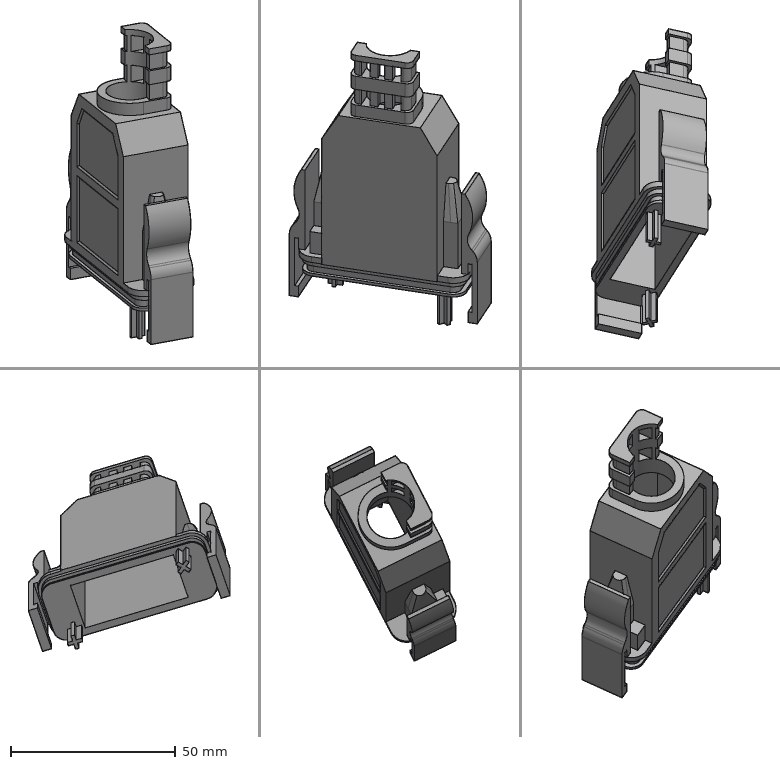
import cadquery as cq
import math

CAGE_TOP = 89.4
TOP_PLATE_BOTTOM = 87.4
BAND_TOP = 82.2
BAND_BOTTOM = 77.6
COLLAR_TOP = 72.2
BODY_TOP = 68.2
CAVITY_TOP = 65.4
SHOULDER_Z = 59.4
LEVER_TOP = 45.4
FLANGE_TOP = 17.8
FLANGE_BOTTOM = 15.8
STEP_BOTTOM = 14.1
NECK_BOTTOM = 11.5
LIP_BOTTOM = 10.55

BODY_HALF_X = 18.4
BODY_TOP_HALF_X = 13.05
BODY_HALF_Y = 10.9
WALL_X = 2.0
CAVITY_HALF_Y = 7.3

CORNER_CENTRE_X = 21.8
FLANGE_HALF_X = 27.1
FLANGE_BACK_INSET = 0.3
STEP_HALF = (26.0, 9.65)
NECK_HALF = (24.5, 8.6)

PANEL_HALF_X = 14.5
PANEL_BORDER = 0.6
PANEL_DEPTH = 0.5
LOWER_PANEL_Z = (18.9, 40.9)
UPPER_PANEL_Z = (43.7, 64.3)
PANEL_KINK_Z = 58.1
PANEL_TOP_HALF_X = 10.9

COLLAR_RADIUS = 9.9
COLLAR_CORNER = 2.1
BORE_DIAMETER = 14.5
PLATE_FRONT_Y = 1.8
CAGE_SETBACK = 0.9
CAGE_FRONT_Y = 2.4
MID_WINDOW_HALF_X = 1.1
SIDE_WINDOW_X = (3.6, 6.35)

POST_HALF_Y = 4.5
POST_REACH_X = 23.0
POST_TAPER_Z = 33.4
POST_TIP_X = 21.3
POST_TIP_RADIUS = 2.1
KEY_WIDTH = 4.0
KEY_TOP = 25.2

LEVER_HALF_Y = 7.1
LEVER_INNER_X = 24.9
LEVER_OUTER_X = 60.0 / 2
LEVER_TOP_OUTER_X = 26.1
LEVER_BOTTOM = 1.2
SLOT_OUTER_X = 28.25
SLOT_TOP = 21.5
HOOK_TOP = 4.9
GRIP_BULGE = (28.5, 37.7)
GRIP_TURN = (27.2, 31.6)
GRIP_HOLLOW = (26.9, 29.05)
SLOPE_TOP = (28.25, 26.5)
SLOPE_BOTTOM = (28.7, 25.9)
LEVER_ROUND = (29.6, 24.5)
LEVER_ROUND_END_Z = 22.5

PIN_X = 19.5
PIN_Y = 6.7
PIN_DIAMETER = 4.65
PIN_RIB_THICKNESS = 1.2
LEFT_PIN_ANGLE = 50.0


def slab(x0, x1, y0, y1, z0, z1):
    """Upright block between opposite corner coordinates."""
    return cq.Workplane("XY").box(x1 - x0, y1 - y0, z1 - z0, centered=False).translate((x0, y0, z0))


def prism_along_y(points, half_y):
    """Polygon in X and Z, extruded to both sides of the XZ plane."""
    return cq.Workplane("XZ").polyline(points).close().extrude(half_y, both=True)


def gable(half_x, top_half_x, z0, kink_z, z1):
    """Symmetric outline with vertical sides and sloping shoulders."""
    right_side = [(half_x, z0), (half_x, kink_z), (top_half_x, z1)]
    return right_side + [(-x, z) for x, z in reversed(right_side)]


def base_step(half_x, half_y, z0, z1):
    """Rounded plate of the base."""
    block = slab(-half_x, half_x, -half_y, half_y, z0, z1)
    return block.edges("|Z").fillet(half_x - CORNER_CENTRE_X)


def base():
    flange_half_y = BODY_HALF_Y - FLANGE_BACK_INSET / 2
    flange = base_step(FLANGE_HALF_X, flange_half_y, FLANGE_BOTTOM, FLANGE_TOP)
    flange = flange.translate((0, -FLANGE_BACK_INSET / 2, 0))
    step = base_step(*STEP_HALF, STEP_BOTTOM, FLANGE_BOTTOM)
    neck = base_step(*NECK_HALF, NECK_BOTTOM, STEP_BOTTOM)
    lip = base_step(*STEP_HALF, LIP_BOTTOM, NECK_BOTTOM)
    return flange.union(step).union(neck).union(lip)


def body():
    outline = gable(BODY_HALF_X, BODY_TOP_HALF_X, FLANGE_BOTTOM, SHOULDER_Z, BODY_TOP)
    return prism_along_y(outline, BODY_HALF_Y)


def cavity():
    """Open-bottomed interior that follows the body outline."""
    slope = (BODY_HALF_X - BODY_TOP_HALF_X) / (BODY_TOP - SHOULDER_Z)
    half_x = BODY_HALF_X - WALL_X
    top_half_x = half_x - slope * (CAVITY_TOP - SHOULDER_Z)
    return prism_along_y(gable(half_x, top_half_x, LIP_BOTTOM, SHOULDER_Z, CAVITY_TOP), CAVITY_HALF_Y)


def panel_recess(outline):
    """Shallow pocket in the front face with walls sloping inward at roughly 45 degrees."""
    taper = math.degrees(math.atan2(PANEL_BORDER, PANEL_DEPTH))
    front = cq.Workplane("XZ", origin=(0, -BODY_HALF_Y, 0))
    return front.polyline(outline).close().extrude(-PANEL_DEPTH, taper=taper)


def panel_recesses():
    low, high = LOWER_PANEL_Z
    lower = [(-PANEL_HALF_X, low), (PANEL_HALF_X, low), (PANEL_HALF_X, high), (-PANEL_HALF_X, high)]
    low, high = UPPER_PANEL_Z
    upper = gable(PANEL_HALF_X, PANEL_TOP_HALF_X, low, PANEL_KINK_Z, high)
    return panel_recess(lower).union(panel_recess(upper))


def cage_block(front_y, setback, z0, z1):
    """Block with rounded rear corners, set back from the collar outline."""
    reach = COLLAR_RADIUS - setback
    block = slab(-reach, reach, front_y, reach, z0, z1)
    return block.edges("|Z and >Y").fillet(COLLAR_CORNER)


def collar_and_cage():
    collar = cage_block(0, 0, BODY_TOP, COLLAR_TOP)
    round_front = cq.Workplane("XY").circle(COLLAR_RADIUS).extrude(COLLAR_TOP - BODY_TOP)
    solid = collar.union(round_front.translate((0, 0, BODY_TOP)))
    solid = solid.union(cage_block(CAGE_FRONT_Y, CAGE_SETBACK, COLLAR_TOP, CAGE_TOP))
    for z0, z1 in ((BAND_BOTTOM, BAND_TOP), (TOP_PLATE_BOTTOM, CAGE_TOP)):
        solid = solid.union(cage_block(PLATE_FRONT_Y, 0, z0, z1))

    near, far = SIDE_WINDOW_X
    columns = ((-far, -near), (-MID_WINDOW_HALF_X, MID_WINDOW_HALF_X), (near, far))
    rows = ((COLLAR_TOP, BAND_BOTTOM), (BAND_TOP, TOP_PLATE_BOTTOM))
    for x0, x1 in columns:
        for z0, z1 in rows:
            solid = solid.cut(slab(x0, x1, 0, COLLAR_RADIUS, z0, z1))
    return solid


def bore():
    cylinder = cq.Workplane("XY").circle(BORE_DIAMETER / 2).extrude(CAGE_TOP - CAVITY_TOP)
    return cylinder.translate((0, 0, CAVITY_TOP))


def guide_post():
    """Post on the +X side: rectangular foot tapering to a round-nosed tip."""
    foot = slab(BODY_HALF_X, POST_REACH_X, -POST_HALF_Y, POST_HALF_Y, FLANGE_TOP, POST_TAPER_Z)

    nose_x = POST_TIP_X - POST_TIP_RADIUS
    diagonal = POST_TIP_RADIUS * math.sqrt(0.5)
    tip_corner = (nose_x + diagonal, diagonal)
    shoulder_x = BODY_HALF_X + (POST_REACH_X - BODY_HALF_X) / 2

    lower = (
        cq.Workplane("XY", origin=(0, 0, POST_TAPER_Z))
        .moveTo(BODY_HALF_X, -POST_HALF_Y)
        .lineTo(shoulder_x, -POST_HALF_Y)
        .lineTo(POST_REACH_X, -POST_HALF_Y)
        .lineTo(POST_REACH_X, POST_HALF_Y)
        .lineTo(shoulder_x, POST_HALF_Y)
        .lineTo(BODY_HALF_X, POST_HALF_Y)
        .close()
    )
    upper = (
        cq.Workplane("XY", origin=(0, 0, LEVER_TOP))
        .moveTo(BODY_HALF_X, -POST_TIP_RADIUS)
        .lineTo(nose_x, -POST_TIP_RADIUS)
        .radiusArc((tip_corner[0], -tip_corner[1]), -POST_TIP_RADIUS)
        .radiusArc(tip_corner, -POST_TIP_RADIUS)
        .radiusArc((nose_x, POST_TIP_RADIUS), -POST_TIP_RADIUS)
        .lineTo(BODY_HALF_X, POST_TIP_RADIUS)
        .close()
    )
    taper = cq.Solid.makeLoft([lower.val(), upper.val()], True)
    return foot.union(cq.Workplane(taper))


def key_block():
    return slab(BODY_HALF_X, POST_REACH_X, POST_HALF_Y, POST_HALF_Y + KEY_WIDTH, FLANGE_TOP, KEY_TOP)


def lever():
    """Latch lever on the +X side, with a finger grip above and a hook below."""
    return (
        cq.Workplane("XZ")
        .moveTo(LEVER_INNER_X, FLANGE_TOP)
        .lineTo(LEVER_INNER_X, LEVER_TOP)
        .lineTo(LEVER_TOP_OUTER_X, LEVER_TOP)
        .threePointArc(GRIP_BULGE, GRIP_TURN)
        .threePointArc(GRIP_HOLLOW, SLOPE_TOP)
        .lineTo(*SLOPE_BOTTOM)
        .threePointArc(LEVER_ROUND, (LEVER_OUTER_X, LEVER_ROUND_END_Z))
        .lineTo(LEVER_OUTER_X, LEVER_BOTTOM)
        .lineTo(FLANGE_HALF_X, LEVER_BOTTOM)
        .lineTo(FLANGE_HALF_X, HOOK_TOP)
        .lineTo(SLOT_OUTER_X, HOOK_TOP)
        .lineTo(SLOT_OUTER_X, SLOT_TOP)
        .lineTo(FLANGE_HALF_X, SLOT_TOP)
        .lineTo(FLANGE_HALF_X, FLANGE_TOP)
        .close()
        .extrude(LEVER_HALF_Y, both=True)
    )


def side_fittings():
    """Post, key block and lever, repeated half a turn around Z."""
    fittings = guide_post().union(key_block()).union(lever())
    return fittings.union(fittings.rotate((0, 0, 0), (0, 0, 1), 180))


def coding_pin(x, y, angle):
    """Cross of two ribs whose outer ends lie on a common cylinder."""
    rib = cq.Workplane("XY").rect(PIN_DIAMETER, PIN_RIB_THICKNESS).extrude(LIP_BOTTOM)
    cross = rib.union(rib.rotate((0, 0, 0), (0, 0, 1), 90))
    pin = cross.intersect(cq.Workplane("XY").circle(PIN_DIAMETER / 2).extrude(LIP_BOTTOM))
    return pin.rotate((0, 0, 0), (0, 0, 1), angle).translate((x, y, 0))


result = body().union(base()).union(collar_and_cage()).union(side_fittings())
result = result.cut(panel_recesses()).cut(cavity()).cut(bore())
result = result.union(coding_pin(PIN_X, -PIN_Y, 0)).union(coding_pin(-PIN_X, PIN_Y, LEFT_PIN_ANGLE))